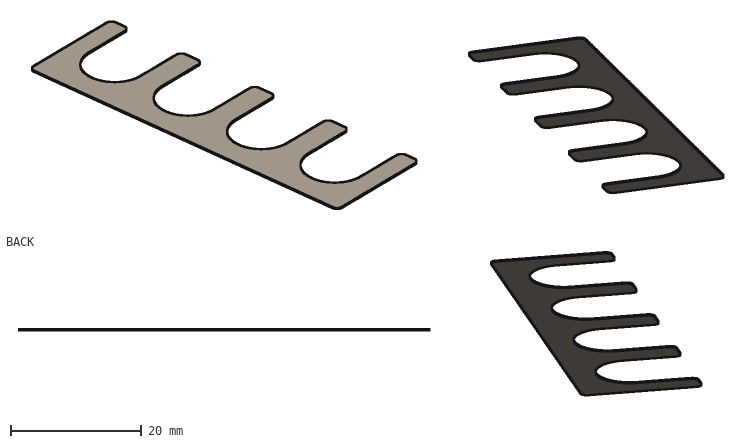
import cadquery as cq

length = 63.0
depth = 19.0
thickness = 0.2
corner_radius = 1.0

slot_count = 4
slot_pitch = 15.0
slot_width = 10.5
back_strip = 4.35

slot_radius = slot_width / 2
slot_center_y = -depth / 2 + back_strip + slot_radius


def slot_cutter(center_x):
    """Round-bottomed slot running out through the +Y edge."""
    left = center_x - slot_radius
    right = center_x + slot_radius
    return (
        cq.Workplane("XY")
        .workplane(offset=-thickness / 2)
        .moveTo(left, depth)
        .lineTo(left, slot_center_y)
        .threePointArc((center_x, slot_center_y - slot_radius), (right, slot_center_y))
        .lineTo(right, depth)
        .close()
        .extrude(thickness)
    )


plate = cq.Workplane("XY").box(length, depth, thickness)
for index in range(slot_count):
    plate = plate.cut(slot_cutter((index - (slot_count - 1) / 2) * slot_pitch))

tip_edges = cq.selectors.BoxSelector(
    (-length, depth / 2 - corner_radius, -thickness), (length, depth, thickness)
)
rear_edges = cq.selectors.BoxSelector(
    (-length, -depth, -thickness), (length, -depth / 2 + corner_radius, thickness)
)
plate = plate.edges("|Z").edges(tip_edges + rear_edges).fillet(corner_radius)

result = plate